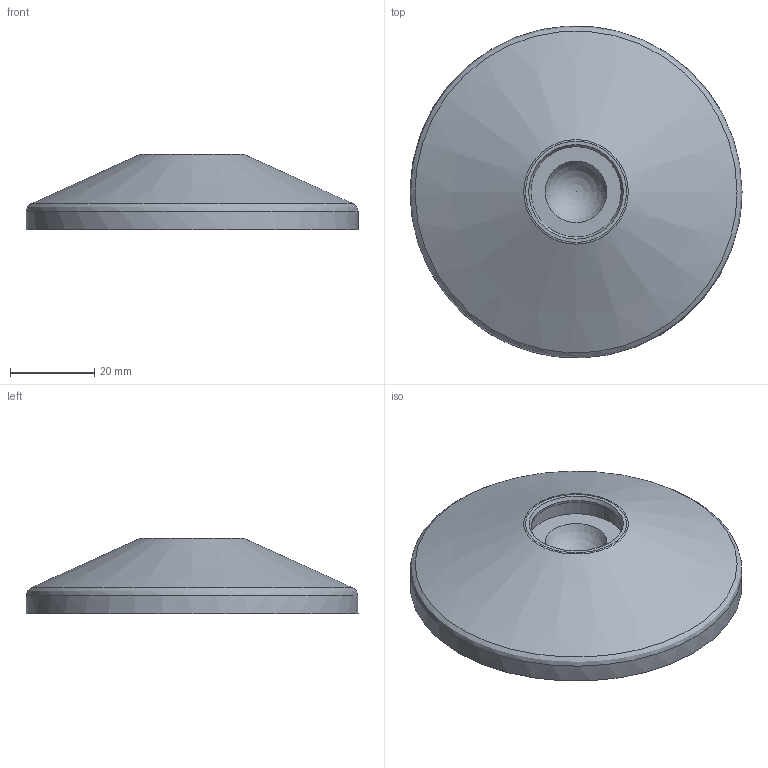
import cadquery as cq
import math

base_radius = 39.5
total_height = 18.0
cone_base_z = 5.65
crown_radius = 12.25
shoulder_fillet = 2.0
crown_fillet = 1.0

lip_radius = 10.75
lead_in_width = 0.5
lead_in_angle = 60.0
lip_depth = 1.4
undercut_radius = 11.4
recess_depth = 5.2

ball_radius = 8.0
ball_centre_depth = 2.0


def revolve_outline(points):
    """Revolve a closed (radius, height) outline around the Z axis."""
    return cq.Workplane("XZ").polyline(points).close().revolve(360, (0, 0, 0), (0, 1, 0))


def make_body():
    """Disc with a conical top, rounded at the shoulder and at the crown."""
    body = revolve_outline(
        [
            (0, 0),
            (base_radius, 0),
            (base_radius, cone_base_z),
            (crown_radius, total_height),
            (0, total_height),
        ]
    )
    body = body.faces(">Z").edges().fillet(crown_fillet)
    shoulder_edge = cq.selectors.RadiusNthSelector(-1)
    return body.faces("not <Z").edges("not <Z").edges(shoulder_edge).fillet(shoulder_fillet)


def make_recess():
    """Stepped round pocket with a retaining lip at its mouth."""
    mouth_radius = lip_radius + lead_in_width
    lead_in_depth = lead_in_width * math.tan(math.radians(lead_in_angle))
    lip_top_z = total_height - lead_in_depth
    lip_bottom_z = total_height - lip_depth
    floor_z = total_height - recess_depth
    return revolve_outline(
        [
            (0, floor_z),
            (undercut_radius, floor_z),
            (undercut_radius, lip_bottom_z),
            (lip_radius, lip_bottom_z),
            (lip_radius, lip_top_z),
            (mouth_radius, total_height),
            (0, total_height),
        ]
    )


def make_ball():
    """Ball that leaves a shallow spherical seat below the recess floor."""
    ball_centre_z = total_height - ball_centre_depth
    return cq.Workplane("XY").sphere(ball_radius).translate((0, 0, ball_centre_z))


result = make_body().cut(make_recess()).cut(make_ball())